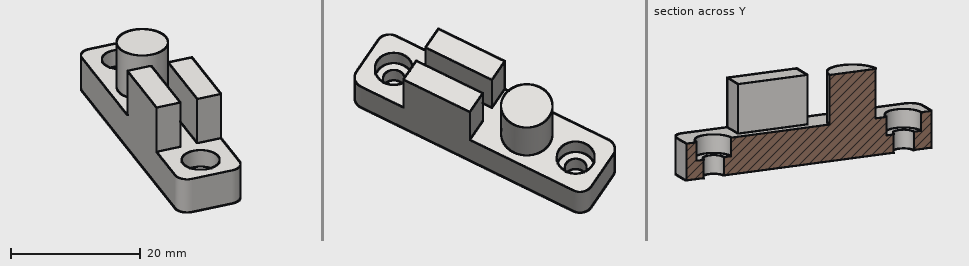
import cadquery as cq

length = 42.0
width = 10.8
base_height = 6.0
total_height = 14.0
corner_radius = 2.0

hole_diameter = 3.4
counterbore_diameter = 5.9
counterbore_depth = 3.0
hole_end_distance = 4.75

post_diameter = 8.0
post_end_distance = 13.5

wall_start = 20.55
wall_length = 11.9
slot_width = 2.8

left_end = -length / 2
upright_height = total_height - base_height
wall_thickness = (width - slot_width) / 2
hole_x = length / 2 - hole_end_distance


def make_base():
    base = cq.Workplane("XY").box(length, width, base_height, centered=(True, True, False))
    base = base.edges("|Z").fillet(corner_radius)
    return (
        base.faces(">Z")
        .workplane()
        .pushPoints([(-hole_x, 0), (hole_x, 0)])
        .cboreHole(hole_diameter, counterbore_diameter, counterbore_depth)
    )


def make_post():
    return (
        cq.Workplane("XY", origin=(left_end + post_end_distance, 0, base_height))
        .circle(post_diameter / 2)
        .extrude(upright_height)
    )


def make_walls():
    wall_x = left_end + wall_start + wall_length / 2
    wall_y = (slot_width + wall_thickness) / 2
    return (
        cq.Workplane("XY", origin=(0, 0, base_height))
        .pushPoints([(wall_x, -wall_y), (wall_x, wall_y)])
        .rect(wall_length, wall_thickness)
        .extrude(upright_height)
    )


result = make_base().union(make_post()).union(make_walls())